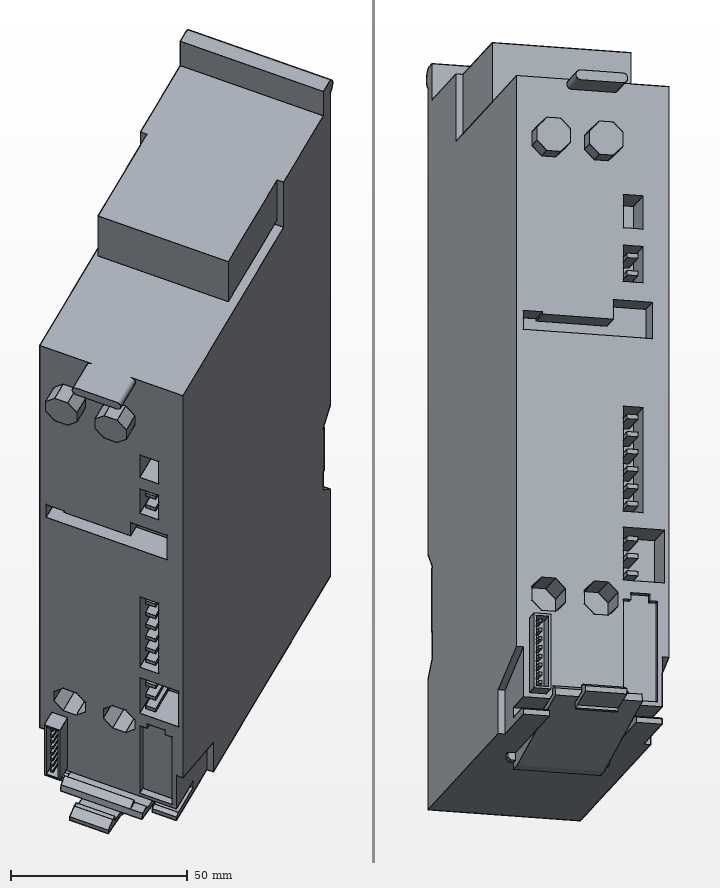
import cadquery as cq
import math


width = 44.7
half_width = width / 2
depth = 100.5
bottom_z = 4.2
front_top_z = 193.0
rear_top_z = 212.8
step_y = 68.6
total_top_z = 223.5

hook_y = 95.7
hook_radius = 3.1
hook_center_y = 99.0
hook_center_z = total_top_z - hook_radius

notch_top_z = 79.8
notch_bottom_z = 42.7
notch_depth = 5.0
notch_floor_y = depth - notch_depth
pad_y = 96.4
pad_top_z = 74.5
pad_bottom_z = 55.7
peg_radius = 6.7
peg_x = 2.0
peg_rear_y = 102.8
peg_bottom_z = 58.1
peg_top_z = 65.5

inner_half_width = 20.3

block_front_y = 35.3
block_bottom_z = 195.2

tab_half_width = 7.5
tab_length = 10.0
tab_height = 3.0

octagon_flats = 9.8
octagon_xs = (-13.0, 2.5)
button_z = 174.5
button_length = 5.8
octagon_hole_z = 40.2

opening_depth = 11.2
window_left_x = 9.0
window_right_x = 14.8
pin_left_x = 10.3
pin_right_x = 13.5
pin_height = 1.3
pin_pitch = 5.1
pin_setback = 1.0
plain_window_z = (150.2, 160.0)
sockets = (
    (134.4, 145.0, window_right_x, 137.3, 2),
    (66.5, 97.5, window_right_x, 69.0, 6),
    (46.0, 61.7, 21.0, 48.5, 3),
)

slot_depth = 7.4
slot_right_x = 17.5
slot_step_x = 6.0
slot_bottom_z = 118.0
slot_low_z = 123.0
slot_high_z = 128.8
slot_end_x = -14.8
slot_end_z = 123.6

hatch_depth = 2.0
hatch_left_x = 9.0
hatch_right_x = 19.0
hatch_bottom_z = 10.7
hatch_top_z = 40.5
hatch_lip_left_x = 11.2
hatch_lip_right_x = 16.8
hatch_lip_z = 42.5

comb_left_x = -18.5
comb_right_x = -13.6
comb_bottom_z = 10.7
comb_top_z = 32.9
comb_length = 5.1
comb_wall = 0.7
comb_pins = 8
comb_pin_pitch = (comb_top_z - comb_bottom_z - 2 * comb_wall) / comb_pins
comb_pin_size = 1.0
comb_pin_setback = 0.7

pocket_y = 20.8
pocket_front_z = 24.1
pocket_rear_z = 17.2
cross_slot_y = 11.5
cross_slot_floor_z = 6.5
cross_slot_top_z = 9.5
lip_bevel_length = 1.3
lip_bevel_height = 0.7

lever_half_width = 12.7
finger_half_width = 6.0
lever_rear_y = 40.7
lever_profile = (
    (lever_rear_y, 0.0),
    (36.5, 0.0),
    (-7.0, 8.5),
    (-6.5, 10.7),
    (-4.0, 12.0),
    (-3.4, 9.6),
    (cross_slot_y, 7.4),
    (lever_rear_y, 5.4),
)
finger_profile = (
    (-3.4, 8.7),
    (-3.4, 7.0),
    (-4.0, 5.5),
    (-5.4, 5.5),
    (-5.4, 6.5),
    (-15.2, 7.8),
    (-15.2, 9.5),
    (-12.0, 10.7),
    (-10.7, 10.7),
    (-10.7, 9.0),
    (-5.5, 8.0),
)
lug_length = 2.2
lug_bottom_z = 2.0
lug_half_width = 15.0
lug_bevel = 1.0


def box(x_range, y_range, z_range):
    """Box spanning the given (low, high) ranges."""
    sizes = [high - low for low, high in (x_range, y_range, z_range)]
    corner = (x_range[0], y_range[0], z_range[0])
    return cq.Workplane("XY").box(*sizes, centered=False).translate(corner)


def side_prism(points, left_x, right_x):
    """Prism along X from an outline of (Y, Z) points."""
    sketch = cq.Workplane("YZ", origin=(left_x, 0, 0)).polyline(points).close()
    return sketch.extrude(right_x - left_x)


def front_prism(points, front_y, rear_y):
    """Prism along Y from an outline of (X, Z) points."""
    sketch = cq.Workplane("XZ", origin=(0, rear_y, 0)).polyline(points).close()
    return sketch.extrude(rear_y - front_y)


def octagon(x, z, front_y, rear_y):
    """Octagonal prism along Y with flats facing up, down and sideways."""
    radius = octagon_flats / 2 / math.cos(math.pi / 8)
    angles = [math.pi / 8 + i * math.pi / 4 for i in range(8)]
    points = [(x + radius * math.cos(a), z + radius * math.sin(a)) for a in angles]
    return front_prism(points, front_y, rear_y)


def make_housing():
    hook_low_z = hook_center_z - math.sqrt(hook_radius**2 - (depth - hook_center_y) ** 2)
    profile = (
        cq.Workplane("YZ", origin=(-half_width, 0, 0))
        .moveTo(0, bottom_z)
        .lineTo(0, front_top_z)
        .lineTo(step_y, front_top_z)
        .lineTo(step_y, rear_top_z)
        .lineTo(hook_y, rear_top_z)
        .lineTo(hook_y, total_top_z)
        .lineTo(hook_center_y, total_top_z)
        .threePointArc((hook_center_y + hook_radius, hook_center_z), (depth, hook_low_z))
        .lineTo(depth, notch_top_z)
        .lineTo(notch_floor_y, notch_top_z - notch_depth)
        .lineTo(notch_floor_y, pad_top_z)
        .lineTo(pad_y, pad_top_z)
        .lineTo(pad_y, pad_bottom_z)
        .lineTo(notch_floor_y, pad_bottom_z)
        .lineTo(notch_floor_y, notch_bottom_z + notch_depth)
        .lineTo(depth, notch_bottom_z)
        .lineTo(depth, bottom_z)
        .close()
    )
    block = box(
        (-inner_half_width, inner_half_width), (block_front_y, step_y), (block_bottom_z, rear_top_z)
    )
    return profile.extrude(width).union(block)


def make_rail_peg():
    peg = cq.Workplane("XY", origin=(peg_x, peg_rear_y - peg_radius, peg_bottom_z))
    return peg.circle(peg_radius).extrude(peg_top_z - peg_bottom_z)


def make_tab():
    """Flat tab with fully rounded sides."""
    middle_z = front_top_z - tab_height / 2
    sketch = cq.Workplane("XZ", origin=(0, 0, middle_z)).slot2D(2 * tab_half_width, tab_height)
    return sketch.extrude(tab_length)


def cut_sockets(body):
    body = body.cut(box((window_left_x, window_right_x), (0, opening_depth), plain_window_z))
    for low_z, high_z, right_x, first_pin_z, pin_count in sockets:
        body = body.cut(box((window_left_x, right_x), (0, opening_depth), (low_z, high_z)))
        for i in range(pin_count):
            pin_z = first_pin_z + i * pin_pitch
            pin_span = (pin_z - pin_height / 2, pin_z + pin_height / 2)
            body = body.union(box((pin_left_x, pin_right_x), (pin_setback, opening_depth), pin_span))
    return body


def make_card_slot():
    points = [
        (-inner_half_width, slot_bottom_z),
        (slot_right_x, slot_bottom_z),
        (slot_right_x, slot_high_z),
        (slot_step_x, slot_high_z),
        (slot_step_x, slot_low_z),
        (slot_end_x, slot_low_z),
        (slot_end_x, slot_end_z),
        (-inner_half_width, slot_end_z),
    ]
    return front_prism(points, 0, slot_depth)


def make_hatch_recess():
    main = box((hatch_left_x, hatch_right_x), (0, hatch_depth), (hatch_bottom_z, hatch_top_z))
    lip = box((hatch_lip_left_x, hatch_lip_right_x), (0, hatch_depth), (hatch_top_z, hatch_lip_z))
    return main.union(lip)


def make_comb():
    comb = box((comb_left_x, comb_right_x), (-comb_length, 0), (comb_bottom_z, comb_top_z))
    cavity = box(
        (comb_left_x + comb_wall, comb_right_x - comb_wall),
        (-comb_length, 0),
        (comb_bottom_z + comb_wall, comb_top_z - comb_wall),
    )
    comb = comb.cut(cavity)
    pin_x = (comb_left_x + comb_right_x - comb_pin_size) / 2
    first_pin_z = (comb_bottom_z + comb_top_z - (comb_pins - 1) * comb_pin_pitch) / 2
    for i in range(comb_pins):
        pin_z = first_pin_z + i * comb_pin_pitch
        pin = box(
            (pin_x - comb_pin_size / 2, pin_x + comb_pin_size / 2),
            (comb_pin_setback - comb_length, 0),
            (pin_z - comb_pin_size / 2, pin_z + comb_pin_size / 2),
        )
        comb = comb.union(pin)
    return comb


def make_side_pocket():
    """Pocket on the left side; the right one is its mirror image."""
    points = [(0, bottom_z), (0, pocket_front_z), (pocket_y, pocket_rear_z), (pocket_y, bottom_z)]
    return side_prism(points, -half_width, -inner_half_width)


def make_cross_slot():
    points = [
        (0, cross_slot_top_z),
        (cross_slot_y, cross_slot_top_z),
        (cross_slot_y, cross_slot_floor_z),
        (lip_bevel_length, cross_slot_floor_z),
        (0, cross_slot_floor_z - lip_bevel_height),
    ]
    return side_prism(points, -half_width, half_width)


def make_lever_opening():
    """Gap in the lower lip through which the lever passes."""
    return box((-lever_half_width, lever_half_width), (0, pocket_y), (bottom_z, cross_slot_floor_z))


def make_lever():
    lever = side_prism(lever_profile, -lever_half_width, lever_half_width)
    relief = box((hatch_left_x, lever_half_width), (-tab_length, 0), (hatch_bottom_z, hatch_top_z))
    finger = side_prism(finger_profile, -finger_half_width, finger_half_width)
    lugs = box(
        (-lug_half_width, lug_half_width),
        (lever_rear_y - lug_length, lever_rear_y),
        (lug_bottom_z, bottom_z),
    )
    lugs = lugs.faces("<Z").edges("|Y").chamfer(lug_bevel)
    return lever.cut(relief).union(finger).union(lugs)


result = make_housing().union(make_rail_peg()).union(make_tab())
result = cut_sockets(result).cut(make_card_slot()).cut(make_hatch_recess())
for octagon_x in octagon_xs:
    result = result.union(octagon(octagon_x, button_z, -button_length, 0))
    result = result.cut(octagon(octagon_x, octagon_hole_z, 0, opening_depth))
left_pocket = make_side_pocket()
result = result.cut(left_pocket).cut(left_pocket.mirror("YZ")).cut(make_cross_slot())
result = result.cut(make_lever_opening())
result = result.union(make_comb()).union(make_lever())